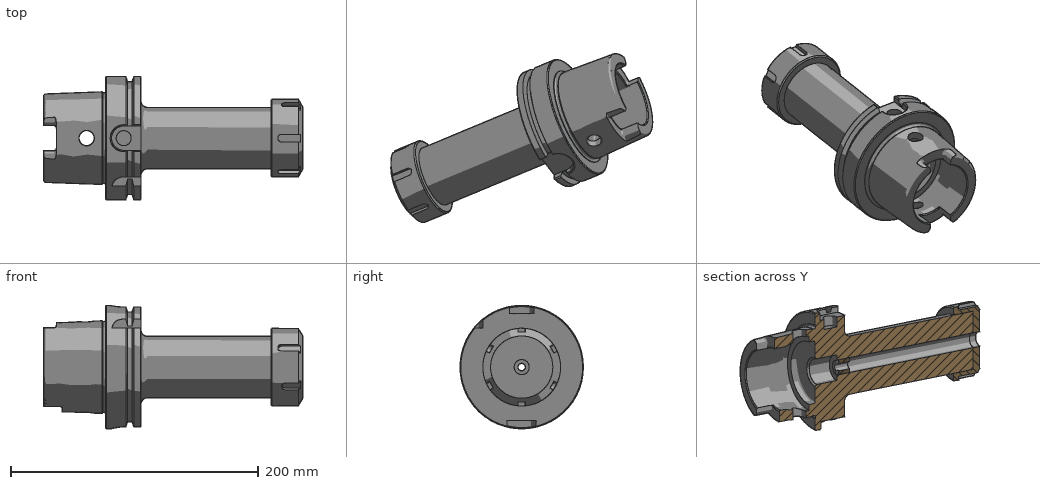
import cadquery as cq
import math

total_length = 210.0

arc_inset = 1 - math.sqrt(0.5)

flange_face = 50.0
mouth_radius = 36.0
gauge_radius = 37.5
mouth_round = 2.0
taper_end = 47.2
relief_start = 48.0
relief_radius = 37.0
relief_fillet = 1.0
face_recess_radius = 39.7
face_recess_depth = 0.5

flange_radius = 50.0
flange_end = 79.0
front_chamfer = 0.8
back_chamfer = 0.6
groove_radius = 45.8
groove_top_start = 66.5
groove_floor_start = 68.0
groove_floor_end = 71.6
groove_top_end = 73.0

neck_radius = 25.0
neck_fillet = 5.0
neck_end = 203.7

bore_radius = 26.5
bore_chamfer = 0.8
bore_length = 20.5
undercut_radius = 31.5
undercut_start = 39.7
undercut_end = 44.0
bore_floor = flange_face
bore_floor_fillet = 1.9

tube_radius = 10.7
tube_chamfer = 1.5
tube_floor = 71.0
axial_radius = 6.0

slot_half_width = 10.0
slot_flare_radius = 4.0
slot_shoulder = 32.0
slot_root_fillet = 1.9
upper_slot_depth = 10.3
lower_slot_depth = 15.1

cross_hole_x = 34.9
cross_hole_radius = 6.0

upper_pocket_x = 64.9
lower_pocket_x = 67.6
pocket_floor = 43.3
pocket_edge_chamfer = 1.0
rim_margin = 0.2
upper_pocket_half_width = 9.9
lower_pocket_half_width = 11.8
pocket_hole_radius = 6.0
pocket_hole_depth = 8.5

notch_offset = 31.5
notch_radius = 9.0
notch_round_x = 64.3

nut_start = 184.0
nut_radius = 31.5
nut_back_chamfer = 1.0
nut_nose_start = 206.2
nut_nose_radius = 25.2
nut_slot_count = 6
nut_slot_width = 6.3
nut_slot_floor = 28.4
nut_long_slot_start = 189.6
nut_short_slot_start = 192.8
nut_short_slot_index = 2

screw_length = 12.5
screw_hole_radius = 3.0
screw_slot_width = 2.3
screw_slot_depth = 2.0


def turned(profile):
    """Revolve a closed XY profile about the X axis."""
    return profile.close().revolve(360, (0, 0, 0), (1, 0, 0))


def cylinder_x(start, end, radius):
    return cq.Workplane("YZ").workplane(offset=start).circle(radius).extrude(end - start)


def holder_blank():
    """Shank, flange and neck turned as one solid piece."""
    chamfer_radius = flange_radius - front_chamfer
    recess_floor = flange_face + face_recess_depth
    relief_mid = relief_fillet * arc_inset
    fillet_mid = neck_fillet * arc_inset
    round_mid = mouth_round * arc_inset
    profile = (
        cq.Workplane("XY")
        .moveTo(0, 0)
        .lineTo(0, mouth_radius - mouth_round)
        .threePointArc((round_mid, mouth_radius - round_mid), (mouth_round, mouth_radius))
        .lineTo(taper_end, gauge_radius)
        .lineTo(relief_start, relief_radius)
        .lineTo(recess_floor - relief_fillet, relief_radius)
        .threePointArc(
            (recess_floor - relief_mid, relief_radius + relief_mid),
            (recess_floor, relief_radius + relief_fillet),
        )
        .lineTo(recess_floor, face_recess_radius)
        .lineTo(flange_face, face_recess_radius)
        .lineTo(flange_face, chamfer_radius)
        .lineTo(flange_face + front_chamfer, flange_radius)
        .lineTo(groove_top_start, flange_radius)
        .lineTo(groove_floor_start, groove_radius)
        .lineTo(groove_floor_end, groove_radius)
        .lineTo(groove_top_end, flange_radius)
        .lineTo(flange_end - back_chamfer, flange_radius)
        .lineTo(flange_end, flange_radius - back_chamfer)
        .lineTo(flange_end, neck_radius + neck_fillet)
        .threePointArc(
            (flange_end + fillet_mid, neck_radius + fillet_mid),
            (flange_end + neck_fillet, neck_radius),
        )
        .lineTo(neck_end, neck_radius)
        .lineTo(neck_end, 0)
    )
    return turned(profile)


def clamping_bore():
    """Stepped cavity: straight mouth, clamping undercut, coolant tube hole and axial hole."""
    floor_mid = bore_floor_fillet * arc_inset
    profile = (
        cq.Workplane("XY")
        .moveTo(0, 0)
        .lineTo(0, bore_radius + bore_chamfer)
        .lineTo(bore_chamfer, bore_radius)
        .lineTo(bore_length, bore_radius)
        .lineTo(undercut_start, undercut_radius)
        .lineTo(undercut_end, undercut_radius)
        .lineTo(undercut_end, bore_radius)
        .lineTo(bore_floor - bore_floor_fillet, bore_radius)
        .threePointArc(
            (bore_floor - floor_mid, bore_radius - floor_mid),
            (bore_floor, bore_radius - bore_floor_fillet),
        )
        .lineTo(bore_floor, tube_radius + tube_chamfer)
        .lineTo(bore_floor + tube_chamfer, tube_radius)
        .lineTo(tube_floor, tube_radius)
        .lineTo(tube_floor, axial_radius)
        .lineTo(neck_end, axial_radius)
        .lineTo(neck_end, 0)
    )
    return turned(profile)


def slot_floor_chamfer(depth):
    """Wedge that breaks the edge between a slot floor and the bore."""
    wedge = turned(
        cq.Workplane("XY")
        .moveTo(depth, 0)
        .lineTo(depth, bore_radius + bore_chamfer)
        .lineTo(depth + bore_chamfer, bore_radius)
        .lineTo(depth + bore_chamfer, 0)
    )
    window = (
        cq.Workplane("YZ")
        .center(0, mouth_radius / 2)
        .rect(2 * slot_half_width, mouth_radius)
        .extrude(2 * depth)
    )
    return wedge.intersect(window)


def drive_slot(depth):
    """Cutter for a slot in the +Z side of the mouth, with its outer edges flared."""
    flare_start = slot_shoulder - slot_flare_radius
    flare_end = slot_half_width + slot_flare_radius
    flare_mid = slot_flare_radius * arc_inset
    outside = 2 * slot_half_width
    top = gauge_radius + slot_half_width
    cutter = (
        cq.Workplane("YZ")
        .moveTo(0, 0)
        .lineTo(slot_half_width, 0)
        .lineTo(slot_half_width, flare_start)
        .threePointArc(
            (slot_half_width + flare_mid, slot_shoulder - flare_mid),
            (flare_end, slot_shoulder),
        )
        .lineTo(outside, slot_shoulder)
        .lineTo(outside, top)
        .lineTo(0, top)
        .close()
        .extrude(depth)
    )
    cutter = cutter.union(cutter.mirror("XZ"))
    cutter = cutter.faces(">X").edges("not(<Z or >Z or <Y or >Y)").fillet(slot_root_fillet)
    return cutter.union(slot_floor_chamfer(depth))


def flange_pocket(round_x, half_width):
    """U-shaped cutter on the +Z side, open at the back of the flange."""
    return (
        cq.Workplane("XY")
        .workplane(offset=pocket_floor)
        .moveTo(flange_end, -half_width)
        .lineTo(round_x, -half_width)
        .threePointArc((round_x - half_width, 0), (round_x, half_width))
        .lineTo(flange_end, half_width)
        .close()
        .extrude(flange_radius - pocket_floor)
    )


def turned_over(shape):
    """Move a shape from the +Z side to the -Z side."""
    return shape.rotate((0, 0, 0), (1, 0, 0), 180)


def flange_pockets():
    upper = flange_pocket(upper_pocket_x, upper_pocket_half_width)
    lower = flange_pocket(lower_pocket_x, lower_pocket_half_width)
    return upper.union(turned_over(lower))


def pocket_rims(side):
    """Box around the pocket edges on the outer face of the flange; side is +1 or -1 along Z."""
    rim_half_width = lower_pocket_half_width + rim_margin
    rim_z = math.sqrt(flange_radius**2 - rim_half_width**2)
    return cq.selectors.BoxSelector(
        (flange_face, -rim_half_width, side * rim_z),
        (flange_end - back_chamfer, rim_half_width, side * (flange_radius + rim_margin)),
    )


def pocket_hole():
    return (
        cq.Workplane("XY")
        .workplane(offset=pocket_floor)
        .center(upper_pocket_x, 0)
        .circle(pocket_hole_radius)
        .extrude(-pocket_hole_depth)
    )


def orientation_notch():
    """Corner cutter at -Y +Z, with a rounded front end and open at the back of the flange."""
    round_side = -notch_offset - notch_radius
    corner_cut = notch_radius * arc_inset
    return (
        cq.Workplane("XY")
        .workplane(offset=notch_offset)
        .moveTo(flange_end, -notch_offset)
        .lineTo(notch_round_x, -notch_offset)
        .threePointArc(
            (notch_round_x - notch_radius + corner_cut, -notch_offset - corner_cut),
            (notch_round_x - notch_radius, round_side),
        )
        .lineTo(flange_end, round_side)
        .close()
        .extrude(flange_radius - notch_offset)
    )


def cross_hole():
    return (
        cq.Workplane("XY")
        .center(cross_hole_x, 0)
        .circle(cross_hole_radius)
        .extrude(gauge_radius, both=True)
    )


def make_holder():
    body = holder_blank().cut(flange_pockets())
    body = body.edges(pocket_rims(1)).chamfer(pocket_edge_chamfer)
    body = body.edges(pocket_rims(-1)).chamfer(pocket_edge_chamfer)
    return (
        body.cut(pocket_hole())
        .cut(orientation_notch())
        .cut(clamping_bore())
        .cut(drive_slot(upper_slot_depth))
        .cut(turned_over(drive_slot(lower_slot_depth)))
        .cut(cross_hole())
    )


def nut_slot(start):
    """Spanner slot cutter on the +Z side of the nut, rounded at its closed end."""
    half_width = nut_slot_width / 2
    return (
        cq.Workplane("XY")
        .workplane(offset=nut_slot_floor)
        .moveTo(total_length, -half_width)
        .lineTo(start + half_width, -half_width)
        .threePointArc((start, 0), (start + half_width, half_width))
        .lineTo(total_length, half_width)
        .close()
        .extrude(nut_radius - nut_slot_floor)
    )


def make_nut():
    """Ring closed around the end of the neck, with spanner slots in its rim."""
    profile = (
        cq.Workplane("XY")
        .moveTo(nut_start, neck_radius)
        .lineTo(nut_start, nut_radius - nut_back_chamfer)
        .lineTo(nut_start + nut_back_chamfer, nut_radius)
        .lineTo(nut_nose_start, nut_radius)
        .lineTo(total_length, nut_nose_radius)
        .lineTo(total_length, axial_radius)
        .lineTo(neck_end, axial_radius)
        .lineTo(neck_end, neck_radius)
    )
    body = turned(profile)
    for index in range(nut_slot_count):
        is_short = index % (nut_slot_count // 2) == nut_short_slot_index
        start = nut_short_slot_start if is_short else nut_long_slot_start
        angle = 360 / nut_slot_count * index
        body = body.cut(nut_slot(start).rotate((0, 0, 0), (1, 0, 0), angle))
    return body


def make_screw():
    """Drilled stop screw with a screwdriver slot, flush with the floor of the coolant tube hole."""
    blank = cylinder_x(tube_floor, tube_floor + screw_length, axial_radius)
    bore = cylinder_x(tube_floor, tube_floor + screw_length, screw_hole_radius)
    slot = cq.Workplane("XY").box(2 * screw_slot_depth, screw_slot_width, 2 * axial_radius)
    return blank.cut(bore).cut(slot.translate((tube_floor, 0, 0)))


holder = make_holder()
nut = make_nut()
screw = make_screw()

result = cq.Compound.makeCompound([holder.val(), nut.val(), screw.val()])